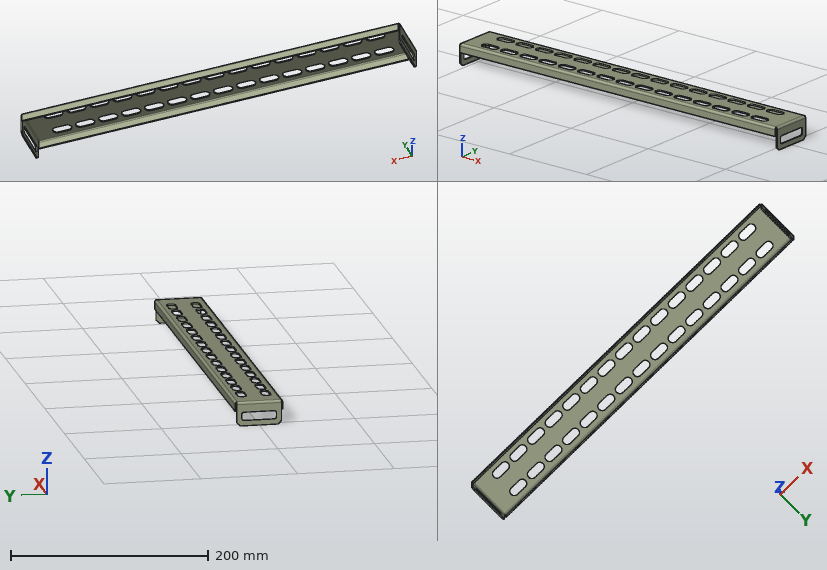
import cadquery as cq


length = 412.0
width = 49.5
height = 25.0

thickness = 1.5
bend_radius = 2.5
inner_bend_radius = bend_radius - thickness

skirt_height = 10.0
corner_notch = 1.5
flange_width = width - 2 * corner_notch
flange_corner_chamfer = 3.38

slot_count = 15
slot_row_span = 349.8
slot_row_spacing = 25.0
slot_length = 20.0
slot_width = 9.0
slot_pitch = slot_row_span / (slot_count - 1)

window_width = 36.0
window_height = 8.5
window_corner_radius = 2.5
window_depth = 15.2


def hanging_block(size_x, size_y, size_z, top=0.0):
    """Block centred in X and Y that hangs down from the given level."""
    return (
        cq.Workplane("XY")
        .workplane(offset=top)
        .rect(size_x, size_y)
        .extrude(-size_z)
    )


def folded_shell():
    """Open-bottomed box of sheet with all four top edges bent round."""
    outside = hanging_block(length, width, height).faces(">Z").edges().fillet(bend_radius)
    inside = (
        hanging_block(length - 2 * thickness, width - 2 * thickness, height, top=-thickness)
        .faces(">Z")
        .edges()
        .fillet(inner_bend_radius)
    )
    return outside.cut(inside)


def skirt_trim():
    """Space below the side skirts, between the end flanges."""
    return hanging_block(length - 2 * thickness, width, height, top=-skirt_height)


def corner_notches():
    return (
        cq.Workplane("XY")
        .rarray(length - corner_notch, width - corner_notch, 2, 2)
        .rect(corner_notch, corner_notch)
        .extrude(-height)
    )


def flange_outline():
    """Bar along X that bevels the lower corners of both end flanges."""
    return (
        hanging_block(length, flange_width, height)
        .faces("<Z")
        .edges("|X")
        .chamfer(flange_corner_chamfer)
        .union(hanging_block(length, width, skirt_height))
    )


def top_slots():
    return (
        cq.Workplane("XY")
        .rarray(slot_pitch, slot_row_spacing, slot_count, 2)
        .slot2D(slot_length, slot_width)
        .extrude(-thickness)
    )


def end_windows():
    """One bar through the windows of both end flanges."""
    return (
        cq.Workplane("YZ")
        .center(0, -window_depth)
        .rect(window_width, window_height)
        .extrude(length / 2, both=True)
        .edges("|X")
        .fillet(window_corner_radius)
    )


result = (
    folded_shell()
    .cut(skirt_trim())
    .cut(corner_notches())
    .intersect(flange_outline())
    .cut(top_slots())
    .cut(end_windows())
)